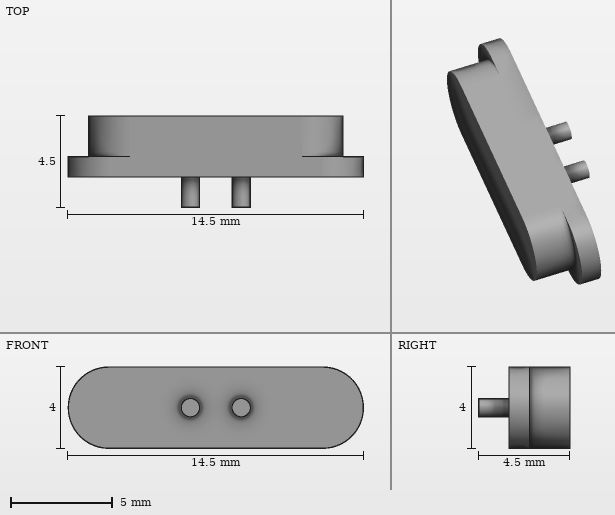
import cadquery as cq

flange_length = 14.5
height = 4.0
flange_thickness = 1.0
body_length = 12.5
body_depth = 2.0
pin_diameter = 0.9
pin_length = 1.5
pin_spacing = 2.5


def obround(length, front, depth):
    """Round-ended bar with its long axis along X, reaching from Y = front toward +Y."""
    return (
        cq.Workplane("XZ", origin=(0, front, 0))
        .slot2D(length, height)
        .extrude(-depth)
    )


def make_housing():
    """Stepped housing: a long front flange and a shorter body behind it."""
    flange = obround(flange_length, 0, flange_thickness)
    body = obround(body_length, flange_thickness, body_depth)
    return flange.union(body).clean()


def make_pin(x):
    """Round contact pin standing on the flange's front face, pointing toward -Y."""
    return (
        cq.Workplane("XZ", origin=(x, 0, 0))
        .circle(pin_diameter / 2)
        .extrude(pin_length)
    )


housing = make_housing()
pins = [make_pin(side * pin_spacing / 2) for side in (-1, 1)]

result = cq.Compound.makeCompound([housing.val(), *[pin.val() for pin in pins]])